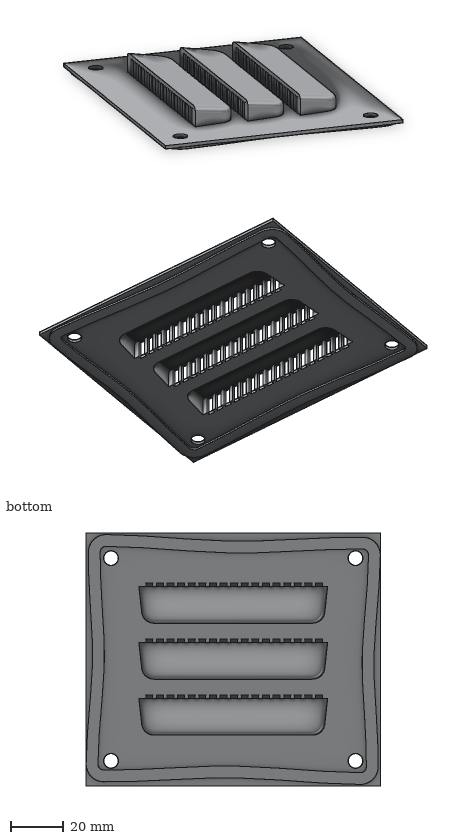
import cadquery as cq
import math

plate_length = 112.7
plate_width = 96.8
sheet = 1.4
hole_diameter = 5.5
hole_spacing_x = 93.5
hole_spacing_y = 77.5

gasket_length = 111.7
gasket_width = 94.6
gasket_skew = 0.6
gasket_thickness = 0.9
gasket_radius = 6.8
gasket_bow = 2.0
gasket_band = 4.5
plate_top = gasket_thickness + sheet

louver_count = 3
louver_pitch = 21.4
louver_depth = 16.8
louver_front_width = 75.3
louver_rise = 8.0
first_front_y = -29.3
side_taper = 6.4
roof_slope = 9.0
corner_radius = 6.2
roof_radius = 2.4

slot_count = 17
slot_pitch = 4.1
slot_width = 2.6
slot_height = 6.3
slot_row_shift = 0.3


def make_gasket_pad(inset):
    """Solid gasket shape with its whole outline moved in by inset."""
    half_x = gasket_length / 2 - inset
    half_y = gasket_width / 2 - inset
    radius = gasket_radius - inset
    straight_x = half_x - radius
    straight_y = half_y - radius
    arc_x = straight_x + radius * math.sqrt(0.5)
    arc_y = straight_y + radius * math.sqrt(0.5)
    right, up, left, down = (1, 0), (0, 1), (-1, 0), (0, -1)
    return (
        cq.Workplane("XY")
        .moveTo(-straight_x, -half_y)
        .spline([(0, gasket_bow - half_y), (straight_x, -half_y)], [right, right], includeCurrent=True)
        .threePointArc((arc_x, -arc_y), (half_x, -straight_y))
        .spline([(half_x - gasket_bow, 0), (half_x, straight_y)], [up, up], includeCurrent=True)
        .threePointArc((arc_x, arc_y), (straight_x, half_y))
        .spline([(0, half_y - gasket_bow), (-straight_x, half_y)], [left, left], includeCurrent=True)
        .threePointArc((-arc_x, arc_y), (-half_x, straight_y))
        .spline([(gasket_bow - half_x, 0), (-half_x, -straight_y)], [down, down], includeCurrent=True)
        .threePointArc((-arc_x, -arc_y), (-straight_x, -half_y))
        .close()
        .extrude(gasket_thickness)
    )


def make_gasket():
    ring = make_gasket_pad(0).cut(make_gasket_pad(gasket_band))
    return ring.rotate((0, 0, 0), (0, 0, 1), gasket_skew)


def make_plate():
    return (
        cq.Workplane("XY", origin=(0, 0, gasket_thickness))
        .rect(plate_length, plate_width)
        .extrude(sheet)
        .faces(">Z")
        .workplane()
        .rect(hole_spacing_x, hole_spacing_y, forConstruction=True)
        .vertices()
        .hole(hole_diameter)
    )


def make_hood(inset):
    """Solid louver from the plate's underside up, front at y = 0, walls and roof moved in by inset."""
    taper = math.radians(side_taper)
    slope = math.radians(roof_slope)
    front_y = inset
    back_y = louver_depth - inset

    def half_width(y):
        return louver_front_width / 2 - inset / math.cos(taper) - y * math.tan(taper)

    def roof_height(y):
        return plate_top + louver_rise - inset / math.cos(slope) - y * math.tan(slope)

    plan = (
        cq.Workplane("XY", origin=(0, 0, gasket_thickness))
        .moveTo(-half_width(front_y), front_y)
        .lineTo(half_width(front_y), front_y)
        .lineTo(half_width(back_y), back_y)
        .lineTo(-half_width(back_y), back_y)
        .close()
        .extrude(plate_top + louver_rise)
        .edges("|Z and >Y")
        .fillet(corner_radius - inset)
    )
    profile = (
        cq.Workplane("YZ")
        .moveTo(front_y, gasket_thickness)
        .lineTo(back_y, gasket_thickness)
        .lineTo(back_y, roof_height(back_y))
        .lineTo(front_y, roof_height(front_y))
        .close()
        .extrude(louver_front_width / 2, both=True)
    )
    hood = plan.intersect(profile)
    roof_edges = hood.faces(">Z").edges("not(<Y)")
    return roof_edges.fillet(roof_radius - inset)


def make_slots():
    """Slot cutters through the front wall and the strip of plate under it."""
    return (
        cq.Workplane("XY", origin=(slot_row_shift, 0, gasket_thickness))
        .rarray(slot_pitch, 1.1, slot_count, 1)
        .box(slot_width, sheet, sheet + slot_height, centered=(True, False, False))
    )


hood = make_hood(0)
cavity = make_hood(sheet)
slots = make_slots()

result = make_plate().union(make_gasket())
for index in range(louver_count):
    place = (0, first_front_y + index * louver_pitch, 0)
    result = result.union(hood.translate(place))
    result = result.cut(cavity.translate(place))
    result = result.cut(slots.translate(place))